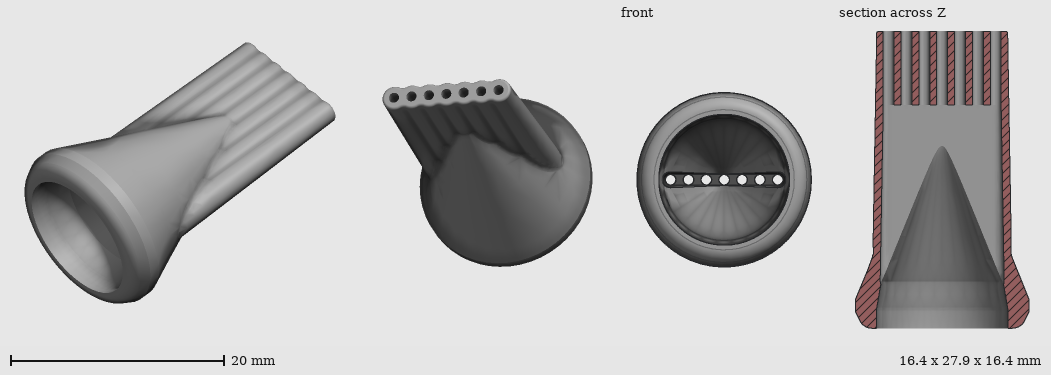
import cadquery as cq
import math

length = 27.92
outer_radius = 8.195
rim_front_radius = 7.4
rim_fillet = 1.3
band_start = 1.62
band_end = 2.68
cone_angle = 22.0

mouth_radius = 6.15
mouth_depth = 1.81
mouth_fillet = 1.62
bore_end_radius = 5.7
bore_end = 4.38

rib_count = 7
rib_pitch = 1.68
rib_radius = 1.15
valley_half_width = 0.35
draft_angle = 1.0
blade_start = 5.58
tip_fillet = 0.25
root_fillet = 0.55

hole_radius = 0.489
slot_half_thickness = hole_radius
slot_start = mouth_depth
slot_floor = 20.95

cone_slope = math.tan(math.radians(cone_angle))
draft_slope = math.tan(math.radians(draft_angle))
cone_tip = band_end + outer_radius / cone_slope
end_rib_x = rib_pitch * (rib_count - 1) / 2
rib_centers = [rib_pitch * i - end_rib_x for i in range(rib_count)]


def section_plane(y):
    """Plane facing -Y at height y, with X and Z as its local axes."""
    return cq.Plane(origin=(0, y, 0), xDir=(1, 0, 0), normal=(0, -1, 0))


def turn(points):
    """Revolve a closed radius-and-Y outline about the Y axis."""
    return cq.Workplane("XY").polyline(points).close().revolve(360, (0, 0, 0), (0, 1, 0))


def fillet_ring(body, y, radius):
    """Round the circular edge centred on the axis at height y."""
    return body.edges(cq.selectors.NearestToPointSelector((0, y, 0))).fillet(radius)


def loft(start_wire, end_wire):
    """Solid with straight sides between two outlines."""
    return cq.Workplane(cq.Solid.makeLoft([start_wire, end_wire], True))


def make_funnel():
    """Rounded conical rim, short cylindrical band and a full outer cone."""
    body = turn([
        (0, 0),
        (rim_front_radius, 0),
        (outer_radius, band_start),
        (outer_radius, band_end),
        (0, cone_tip),
    ])
    return fillet_ring(body, 0, rim_fillet)


def make_cavity():
    """Mouth blended into the bore, then a cone parallel to the outer one."""
    body = turn([
        (0, 0),
        (mouth_radius, 0),
        (mouth_radius, mouth_depth),
        (bore_end_radius, bore_end),
        (0, bore_end + bore_end_radius / cone_slope),
    ])
    return fillet_ring(body, mouth_depth, mouth_fillet)


def blade_wire(y):
    """Blade outline at height y: convex rib arcs joined by tangent valley arcs."""
    growth = (length - y) * draft_slope
    radius = rib_radius + growth
    join_angle = math.asin((rib_pitch / 2 - valley_half_width) / rib_radius)
    join_x = radius * math.sin(join_angle)
    join_z = radius * math.cos(join_angle)
    valley_radius = valley_half_width / math.sin(join_angle) - growth
    valley_z = join_z - valley_radius * (1 - math.cos(join_angle))
    end_angle = (math.pi / 2 - join_angle) / 2
    end_x = end_rib_x + radius * math.sin(end_angle)
    end_z = radius * math.cos(end_angle)
    edge_x = end_rib_x + radius

    outline = cq.Workplane(section_plane(y)).moveTo(-edge_x, 0)
    for side in (1, -1):
        outline = outline.threePointArc(
            (-side * end_x, side * end_z),
            (side * (join_x - end_rib_x), side * join_z),
        )
        for center in rib_centers[1:]:
            outline = outline.threePointArc(
                (side * (center - rib_pitch / 2), side * valley_z),
                (side * (center - join_x), side * join_z),
            )
            if center < end_rib_x:
                outline = outline.threePointArc(
                    (side * center, side * radius),
                    (side * (center + join_x), side * join_z),
                )
        outline = outline.threePointArc((side * end_x, side * end_z), (side * edge_x, 0))
    return outline.close().val()


def slot_wire(y):
    """Round-ended slot outline at height y."""
    half_thickness = slot_half_thickness + (slot_floor - y) * draft_slope
    slot_length = 2 * (end_rib_x + half_thickness)
    return cq.Workplane(section_plane(y)).slot2D(slot_length, 2 * half_thickness).val()


def make_holes():
    """One hole along Y in every rib, from the slot floor out through the tip."""
    row = cq.Workplane(section_plane(length)).pushPoints([(x, 0) for x in rib_centers])
    return row.circle(hole_radius).extrude(length - slot_floor)


def fillet_root(body):
    """Blend the blade into the cone along the line where they meet."""
    root_edges = []
    for edge in body.edges().vals():
        box = edge.BoundingBox()
        if box.ymin > blade_start and box.ymax < cone_tip:
            root_edges.append(edge)
    return body.newObject(root_edges).fillet(root_fillet)


blade = loft(blade_wire(blade_start), blade_wire(length))
slot = loft(slot_wire(slot_start), slot_wire(slot_floor))

body = fillet_root(make_funnel().union(blade))
body = body.faces(">Y").edges().fillet(tip_fillet)
result = body.cut(make_cavity()).cut(slot).cut(make_holes())